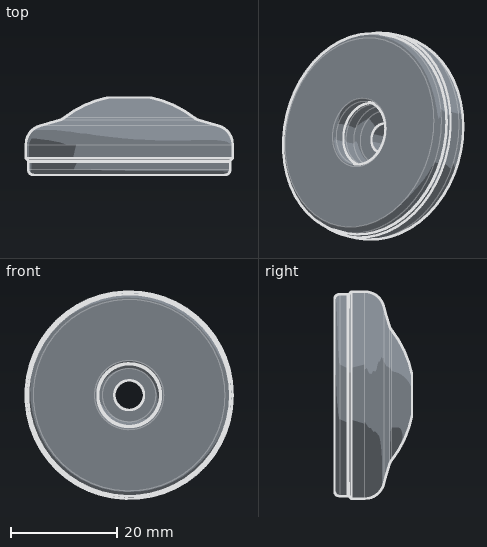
import cadquery as cq
import math


disc_radius = 19.0
disc_thickness = 2.5
disc_rim_fillet = 1.0
disc_bore_radius = 6.0
disc_bore_fillet = 0.5

pad_radius = 16.45
pad_height = 0.097
joint_y = disc_thickness + pad_height

cap_radius = 19.5
cap_height = 14.6
cap_edge_chamfer = 0.5
shoulder_start = 5.7
shoulder_radius = 3.75
slope_angle = math.radians(16)
dome_flat_radius = 3.9
dome_radius = 19.87
dome_blend_radius = 2.5

socket_radius = 5.8
socket_edge_fillet = 0.62
socket_corner_start = 5.5
socket_corner_fillet = 1.0
seat_angle = math.radians(13)
through_hole_radius = 2.75

full_turn = 360
quarter_turn = math.pi / 2


def polar(center, radius, angle):
    """Point on a circle, with the angle measured from the axis towards the outside."""
    return (center[0] + radius * math.sin(angle), center[1] + radius * math.cos(angle))


def revolve(profile):
    """Turn a closed (radius, y) profile about the Y axis."""
    return profile.close().revolve(full_turn, (0, 0, 0), (0, 1, 0))


def make_disc():
    """Flat ring with rounded front edges and a low pad on its back."""
    disc = (
        cq.Workplane("XZ")
        .circle(disc_radius)
        .circle(disc_bore_radius)
        .extrude(-disc_thickness)
    )
    front_edges = disc.faces("<Y").edges()
    disc = front_edges.edges(cq.selectors.RadiusNthSelector(1)).fillet(disc_rim_fillet)
    disc = disc.faces("<Y").edges(cq.selectors.RadiusNthSelector(0)).fillet(disc_bore_fillet)
    pad = (
        cq.Workplane("XZ", origin=(0, disc_thickness, 0))
        .circle(pad_radius)
        .circle(disc_bore_radius)
        .extrude(-pad_height)
    )
    return disc.union(pad)


def make_cap():
    """Solid of revolution with a rounded shoulder, a dome and a stepped bore."""
    rim_bottom = joint_y + pad_height

    shoulder_center = (cap_radius - shoulder_radius, shoulder_start)
    shoulder_end = polar(shoulder_center, shoulder_radius, slope_angle)
    shoulder_mid = polar(shoulder_center, shoulder_radius, (quarter_turn + slope_angle) / 2)

    dome_center = (0, cap_height - math.sqrt(dome_radius**2 - dome_flat_radius**2))

    blend_reach = dome_radius + dome_blend_radius
    blend_line = polar(shoulder_center, shoulder_radius + dome_blend_radius, slope_angle)
    line_offset = (
        (blend_line[0] - dome_center[0]) * math.sin(slope_angle)
        + (blend_line[1] - dome_center[1]) * math.cos(slope_angle)
    )
    blend_angle = slope_angle + math.acos(line_offset / blend_reach)
    blend_center = polar(dome_center, blend_reach, blend_angle)
    blend_start = polar(blend_center, -dome_blend_radius, slope_angle)
    blend_mid = polar(blend_center, -dome_blend_radius, (slope_angle + blend_angle) / 2)
    blend_end = polar(dome_center, dome_radius, blend_angle)
    flat_angle = math.asin(dome_flat_radius / dome_radius)
    dome_mid = polar(dome_center, dome_radius, (flat_angle + blend_angle) / 2)

    corner_center = (socket_radius - socket_corner_fillet, socket_corner_start)
    corner_end = polar(corner_center, socket_corner_fillet, seat_angle)
    corner_mid = polar(corner_center, socket_corner_fillet, (quarter_turn + seat_angle) / 2)
    seat_top = corner_end[1] + (corner_end[0] - through_hole_radius) * math.tan(seat_angle)

    mouth_center = (socket_radius + socket_edge_fillet, joint_y + socket_edge_fillet)
    mouth_mid = polar(mouth_center, -socket_edge_fillet, quarter_turn / 2)

    profile = (
        cq.Workplane("XY")
        .moveTo(mouth_center[0], joint_y)
        .lineTo(pad_radius, joint_y)
        .lineTo(pad_radius, rim_bottom)
        .lineTo(cap_radius - cap_edge_chamfer, rim_bottom)
        .lineTo(cap_radius, rim_bottom + cap_edge_chamfer)
        .lineTo(cap_radius, shoulder_start)
        .threePointArc(shoulder_mid, shoulder_end)
        .lineTo(*blend_start)
        .threePointArc(blend_mid, blend_end)
        .threePointArc(dome_mid, (dome_flat_radius, cap_height))
        .lineTo(through_hole_radius, cap_height)
        .lineTo(through_hole_radius, seat_top)
        .lineTo(*corner_end)
        .threePointArc(corner_mid, (socket_radius, socket_corner_start))
        .lineTo(socket_radius, mouth_center[1])
        .threePointArc(mouth_mid, (mouth_center[0], joint_y))
    )
    return revolve(profile)


disc = make_disc()
cap = make_cap()

result = cq.Compound.makeCompound([disc.val(), cap.val()])